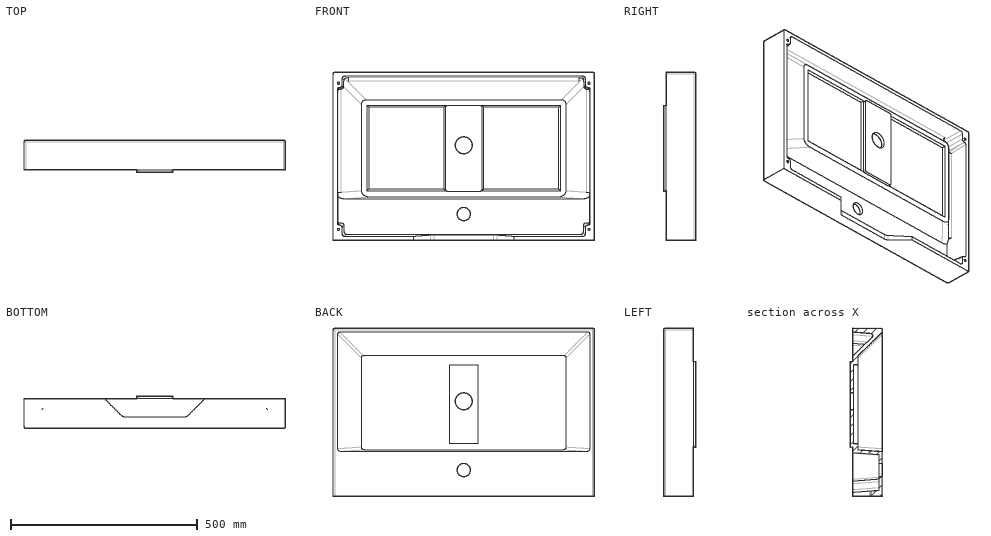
import cadquery as cq
import math

WIDTH = 700.0
HEIGHT = 450.0
DEPTH = 80.0
OUTER_ROUND = 5.0
PLATE = 10.0
CAVITY_DEPTH = DEPTH - PLATE

SIDE_RIM = 12.0
END_RIM = 10.5
BLOCK_WIDTH = 24.5
BLOCK_HEIGHT = 40.5
SIDE_DRAFT = 1.5
END_DRAFT = 5.5
OPENING_ROUND = 7.0
BLOCK_ROUND = 7.0
BLOCK_FOOT_ROUND = 5.0
SCREW_RADIUS = 3.0
SCREW_DEPTH = 14.0
SCREW_X = WIDTH / 2 - 15.0
SCREW_Z = HEIGHT / 2 - 29.5

CROWN_HALF_WIDTH = 274.0
CROWN_TOP = HEIGHT / 2 - 74.0
CROWN_BOTTOM = -109.0
SIDE_FLARE = 68.0
TOP_FLARE = 68.0
BOTTOM_FLARE = 5.0
BOWL_ROUND = 17.5
SIDE_BLEND_ROUND = 5.0
TOP_BLEND_ROUND = 5.5

BOSS_WIDTH = 96.5
BOSS_TOP = 136.5
BOSS_BOTTOM = -94.0
BOSS_RISE = 7.0
BOSS_ROUND = 5.0
PANEL_OUTER_X = 259.0
PANEL_BOTTOM = -92.5
PANEL_DEPTH = 5.0
PANEL_BEVEL = 5.0
DRAIN_RADIUS = 22.5
DRAIN_Z = 29.5
TAP_RADIUS = 17.5
TAP_Z = -155.0

NOTCH_HALF_WIDTH = 134.5
NOTCH_DEPTH = 49.0
NOTCH_ROUND = 13.0

BOWL_FLOOR = PANEL_DEPTH + PLATE
SUMP_FLOOR = PLATE - BOSS_RISE


def plane_at(y):
    """Work plane at depth y, with its axes along X and Z."""
    return cq.Workplane("XZ", origin=(0, y, 0))


def rectangle(left, right, bottom, top):
    return [(left, bottom), (right, bottom), (right, top), (left, top)]


def loft(near, near_y, far, far_y):
    """Straight-sided solid between two outlines at two depths."""
    near_wire = plane_at(near_y).polyline(near).close().val()
    far_wire = plane_at(far_y).polyline(far).close().val()
    return cq.Workplane(cq.Solid.makeLoft([near_wire, far_wire], True))


def slab(outline, near_y, far_y):
    return plane_at(near_y).polyline(outline).close().extrude(near_y - far_y)


def cylinder(x, z, radius, near_y, far_y):
    return plane_at(near_y).center(x, z).circle(radius).extrude(near_y - far_y)


def depth_edges(solid, x_range, z_range):
    """Edges that run through the depth and whose |x| and |z| lie in the given ranges."""
    def wanted(edge):
        middle = edge.Center()
        runs_deep = abs(edge.endPoint().y - edge.startPoint().y) > DEPTH / 2
        in_x = x_range[0] < abs(middle.x) < x_range[1]
        in_z = z_range[0] < abs(middle.z) < z_range[1]
        return runs_deep and in_x and in_z
    return solid.edges().filter(wanted)


def outer_block():
    block = cq.Workplane().box(WIDTH, DEPTH, HEIGHT).translate((0, DEPTH / 2, 0))
    block = block.edges("|Y and >Z").fillet(OUTER_ROUND)
    return block.faces(">Y").edges("not(<Z)").fillet(OUTER_ROUND)


def cavity_outline(side_lean, end_lean):
    side = WIDTH / 2 - SIDE_RIM - side_lean
    end = HEIGHT / 2 - END_RIM - end_lean
    step_x = WIDTH / 2 - BLOCK_WIDTH - end_lean
    step_z = HEIGHT / 2 - BLOCK_HEIGHT - end_lean
    top_right = [(side, step_z), (step_x, step_z), (step_x, end)]
    top_left = [(-x, z) for x, z in reversed(top_right)]
    bottom_left = [(-x, -z) for x, z in top_right]
    bottom_right = [(x, -z) for x, z in reversed(top_right)]
    return top_right + top_left + bottom_left + bottom_right


def cavity():
    tool = loft(cavity_outline(0, 0), 0, cavity_outline(SIDE_DRAFT, END_DRAFT), CAVITY_DEPTH)
    tip_x = (WIDTH - SIDE_RIM - BLOCK_WIDTH) / 2
    tip_z = (HEIGHT - END_RIM - BLOCK_HEIGHT) / 2
    tool = depth_edges(tool, (0, tip_x), (tip_z, HEIGHT)).fillet(OPENING_ROUND)
    tool = depth_edges(tool, (0, tip_x), (0, tip_z)).fillet(BLOCK_ROUND)
    return depth_edges(tool, (tip_x, WIDTH), (0, tip_z)).fillet(BLOCK_FOOT_ROUND)


def flared_side(crown, flare, shift, y):
    """Distance of a bowl side from the centre at depth y, moved inward square to it by shift."""
    slope = flare / CAVITY_DEPTH
    return crown + slope * y - shift * (1 + slope**2) ** 0.5


def bowl_outline(y, shift):
    side = flared_side(CROWN_HALF_WIDTH, SIDE_FLARE, shift, y)
    top = flared_side(CROWN_TOP, TOP_FLARE, shift, y)
    bottom = -flared_side(-CROWN_BOTTOM, BOTTOM_FLARE, shift, y)
    return rectangle(-side, side, bottom, top)


def bowl_solid(near_y, far_y, shift):
    solid = loft(bowl_outline(near_y, shift), near_y, bowl_outline(far_y, shift), far_y)
    return depth_edges(solid, (0, WIDTH), (0, HEIGHT)).fillet(BOWL_ROUND - shift)


def valley_blend(radius, wall_foot, wall_lean, crown, flare, start, length):
    """Concave round between a drafted wall and a bowl side, running along local Z.

    Local X points from the centre of the tray to the wall and local Y is the depth.
    """
    lean = wall_lean / CAVITY_DEPTH
    slope = flare / CAVITY_DEPTH
    wall_at_rim = wall_foot + wall_lean
    valley_y = (wall_at_rim - crown) / (slope + lean)
    valley_x = crown + slope * valley_y

    wall_angle = math.atan(lean)
    side_angle = math.atan(slope)
    half_angle = (wall_angle + side_angle) / 2
    middle_angle = (side_angle - wall_angle) / 2

    def from_valley(distance, angle):
        return (valley_x - distance * math.sin(angle), valley_y - distance * math.cos(angle))

    tangent_length = radius / math.tan(half_angle)
    arc_distance = radius / math.sin(half_angle) - radius
    profile = cq.Workplane("XY", origin=(0, 0, start))
    profile = profile.moveTo(*from_valley(tangent_length, -wall_angle))
    profile = profile.threePointArc(
        from_valley(arc_distance, middle_angle),
        from_valley(tangent_length, side_angle),
    )
    return profile.lineTo(valley_x, valley_y).close().extrude(length)


def side_blend():
    start = CROWN_BOTTOM - BOTTOM_FLARE + BOWL_ROUND
    length = HEIGHT / 2 - BLOCK_HEIGHT - END_DRAFT - start
    foot = WIDTH / 2 - SIDE_RIM - SIDE_DRAFT
    return valley_blend(SIDE_BLEND_ROUND, foot, SIDE_DRAFT, CROWN_HALF_WIDTH, SIDE_FLARE, start, length)


def top_blend():
    half_length = WIDTH / 2 - BLOCK_WIDTH - BOWL_ROUND
    foot = HEIGHT / 2 - END_RIM - END_DRAFT
    blend = valley_blend(
        TOP_BLEND_ROUND, foot, END_DRAFT, CROWN_TOP, TOP_FLARE, -half_length, 2 * half_length
    )
    return blend.rotate((0, 0, 0), (0, 1, 0), -90)


def tray():
    """Outer block hollowed around the underside of the bowl."""
    hollow = cavity().cut(bowl_solid(0, CAVITY_DEPTH, 0))
    return outer_block().cut(hollow)


def panel_recess():
    """Bevelled recess on the +X side of the boss."""
    inner = BOSS_WIDTH / 2
    near = rectangle(inner, PANEL_OUTER_X, PANEL_BOTTOM, BOSS_TOP)
    far = rectangle(inner + PANEL_BEVEL, PANEL_OUTER_X - PANEL_BEVEL,
                    PANEL_BOTTOM + PANEL_BEVEL, BOSS_TOP - PANEL_BEVEL)
    return loft(near, 0, far, PANEL_DEPTH)


def drain_boss():
    half = BOSS_WIDTH / 2
    boss = slab(rectangle(-half, half, BOSS_BOTTOM, BOSS_TOP), -BOSS_RISE, BOWL_FLOOR)
    return boss.edges("|Y").fillet(BOSS_ROUND)


def sump():
    """Recess in the bowl floor behind the boss."""
    half = BOSS_WIDTH / 2 - PLATE
    outline = rectangle(-half, half, BOSS_BOTTOM + PLATE, BOSS_TOP - PLATE)
    return slab(outline, SUMP_FLOOR, BOWL_FLOOR)


def bottom_notch():
    """Trapezoidal cut with 45 degree ends, through the bottom wall."""
    floor_half = NOTCH_HALF_WIDTH - NOTCH_DEPTH
    profile = [
        (-NOTCH_HALF_WIDTH, 0),
        (-floor_half, NOTCH_DEPTH),
        (floor_half, NOTCH_DEPTH),
        (NOTCH_HALF_WIDTH, 0),
    ]
    notch = cq.Workplane("XY", origin=(0, 0, -HEIGHT / 2)).polyline(profile).close()
    notch = notch.extrude(END_RIM + END_DRAFT)
    return notch.edges("|Z and >Y").fillet(NOTCH_ROUND)


right_blend = side_blend()
result = tray().union(right_blend).union(right_blend.mirror("YZ")).union(top_blend())
result = result.cut(bowl_solid(BOWL_FLOOR, DEPTH, PLATE))
right_panel = panel_recess()
result = result.cut(right_panel).cut(right_panel.mirror("YZ"))
result = result.union(drain_boss()).cut(sump())
result = result.cut(cylinder(0, DRAIN_Z, DRAIN_RADIUS, -BOSS_RISE, DEPTH))
result = result.cut(cylinder(0, TAP_Z, TAP_RADIUS, 0, DEPTH))
for x in (-SCREW_X, SCREW_X):
    for z in (-SCREW_Z, SCREW_Z):
        result = result.cut(cylinder(x, z, SCREW_RADIUS, 0, SCREW_DEPTH))
result = result.cut(bottom_notch())